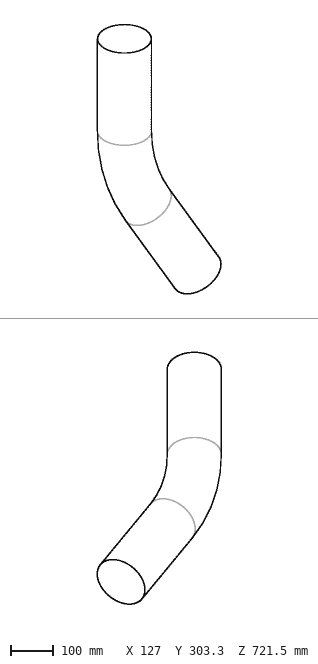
import cadquery as cq
import math

total_height = 721.5
outer_diameter = 127.0
bore_diameter = 124.0
bend_radius = 433.0
bend_angle = 30.0

bend_sin = math.sin(math.radians(bend_angle))
bend_cos = math.cos(math.radians(bend_angle))
outer_radius = outer_diameter / 2
bend_drop = bend_radius * bend_sin
end_tilt_drop = outer_radius * bend_sin
leg_length = (total_height - bend_drop - end_tilt_drop) / (1 + bend_cos)


def tube_ring():
    """Wall cross-section, centred on the pipe axis at the lower end of the vertical leg."""
    return cq.Workplane("XY").circle(outer_radius).circle(bore_diameter / 2)


def tilt_about_bend(leg):
    """Swing a vertical leg around the bend centre, which lies on the +Y side."""
    return leg.rotate((0, bend_radius, 0), (1, bend_radius, 0), bend_angle)


upper_leg = tube_ring().extrude(leg_length)
bend = tube_ring().revolve(bend_angle, (0, bend_radius), (1, bend_radius))
lower_leg = tilt_about_bend(tube_ring().extrude(-leg_length))

result = upper_leg.union(bend).union(lower_leg)